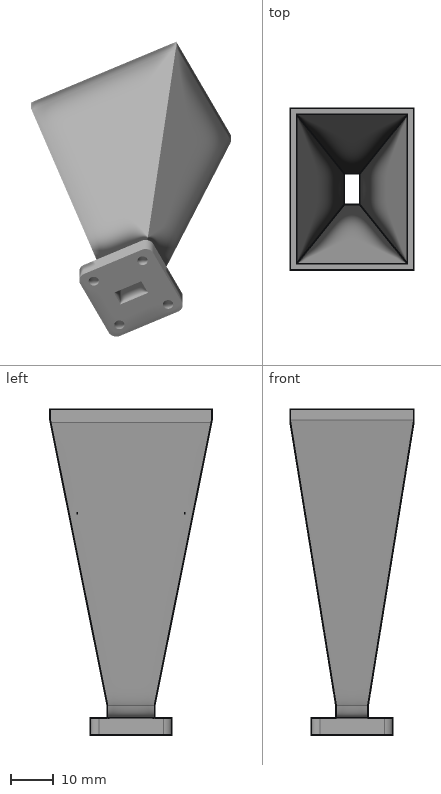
import cadquery as cq

BORE_X = 3.556
BORE_Y = 7.112

FLANGE_SIDE = 19.05
FLANGE_THICKNESS = 4.0
FLANGE_CORNER_RADIUS = 2.0
HOLE_DIAMETER = 2.4
HOLE_SPACING_X = 13.46
HOLE_SPACING_Y = 12.7

TOTAL_HEIGHT = 76.1
NECK_LENGTH = 3.0
MOUTH_OUTER_X = 28.85
MOUTH_OUTER_Y = 37.86
WALL = 2.0
RIM_WALL = 1.5

FLARE_START = FLANGE_THICKNESS + NECK_LENGTH
FLARE_LENGTH = TOTAL_HEIGHT - FLARE_START
MOUTH_INNER_X = MOUTH_OUTER_X - 2 * RIM_WALL
MOUTH_INNER_Y = MOUTH_OUTER_Y - 2 * RIM_WALL


def block(size_x, size_y, bottom, height):
    """Upright box centred on the Z axis."""
    return cq.Workplane("XY").workplane(offset=bottom).rect(size_x, size_y).extrude(height)


def flare(margin):
    """Flare of the bore, grown sideways by a margin on all four sides."""
    return (
        cq.Workplane("XY")
        .workplane(offset=FLARE_START)
        .rect(BORE_X + 2 * margin, BORE_Y + 2 * margin)
        .workplane(offset=FLARE_LENGTH)
        .rect(MOUTH_INNER_X + 2 * margin, MOUTH_INNER_Y + 2 * margin)
        .loft(ruled=True)
    )


def make_flange():
    """Square plate with rounded corners and four through holes."""
    plate = block(FLANGE_SIDE, FLANGE_SIDE, 0, FLANGE_THICKNESS)
    plate = plate.edges("|Z").fillet(FLANGE_CORNER_RADIUS)
    return (
        plate.faces(">Z")
        .workplane(origin=(0, 0, FLANGE_THICKNESS))
        .rect(HOLE_SPACING_X, HOLE_SPACING_Y, forConstruction=True)
        .vertices()
        .hole(HOLE_DIAMETER)
    )


def make_horn_body():
    """Solid neck and flare; vertical sides trim the flare into a rim at the mouth."""
    neck = block(BORE_X + 2 * WALL, BORE_Y + 2 * WALL, FLANGE_THICKNESS, NECK_LENGTH)
    mouth_envelope = block(MOUTH_OUTER_X, MOUTH_OUTER_Y, FLARE_START, FLARE_LENGTH)
    return neck.union(flare(WALL).intersect(mouth_envelope))


def make_passage():
    """Straight bore through flange and neck, opening into the flared inside."""
    return block(BORE_X, BORE_Y, 0, FLARE_START).union(flare(0))


result = make_flange().union(make_horn_body()).cut(make_passage())